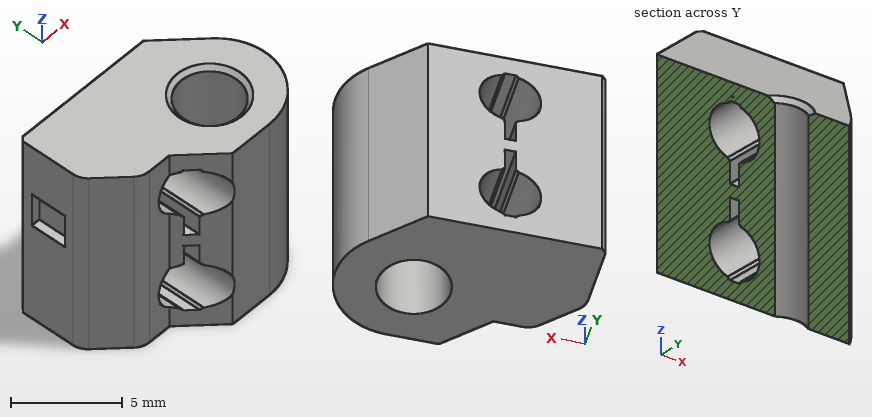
import math

import cadquery as cq

length = 11.39
depth = 7.65
height = 11.0

boss_radius = 3.2
boss_x = length - boss_radius
boss_y = boss_radius
step_depth = 2.0
step_end_x = 3.76
front_chamfer = 2.0
front_fillet_radius = 1.0
back_chamfer = 0.22

screw_diameter = 3.4
screw_x = 7.75
screw_y = boss_y
screw_chamfer = 0.25

channel_x = 4.46
channel_diameter = 2.84
channel_spacing = 6.0
channel_half_height = 1.5
flare_reach = 1.75
flare_base = 0.5
slot_width = 0.5
slot_gap = 0.7

recess_size = 2.0
recess_depth = 0.5
recess_center_y = 5.9
recess_center_z = 6.97


def make_body():
    """Extruded plan outline with a rounded boss end and a stepped front."""
    tangent_offset = boss_radius / math.sqrt(2)
    tangent_x = boss_x + tangent_offset
    tangent_y = boss_y + tangent_offset
    back_corner_x = tangent_x + tangent_y - depth
    corner_y = step_depth + front_chamfer

    body = (
        cq.Workplane("XY")
        .moveTo(step_end_x + step_depth, 0)
        .lineTo(boss_x, 0)
        .threePointArc((length, boss_y), (tangent_x, tangent_y))
        .lineTo(back_corner_x, depth)
        .lineTo(back_chamfer, depth)
        .lineTo(0, depth - back_chamfer)
        .lineTo(0, corner_y)
        .lineTo(front_chamfer, step_depth)
        .lineTo(step_end_x, step_depth)
        .close()
        .extrude(height)
    )
    middle_z = height / 2
    for corner_x, edge_y in ((0, corner_y), (front_chamfer, step_depth)):
        edge = cq.selectors.NearestToPointSelector((corner_x, edge_y, middle_z))
        body = body.edges("|Z").edges(edge).fillet(front_fillet_radius)
    return body


def make_screw_hole():
    """Through hole with a chamfered upper rim."""
    radius = screw_diameter / 2
    hole = cq.Workplane("XY").center(screw_x, screw_y).circle(radius).extrude(height)
    rim = cq.Solid.makeCone(
        radius,
        radius + screw_chamfer,
        screw_chamfer,
        pnt=cq.Vector(screw_x, screw_y, height - screw_chamfer),
    )
    return hole.union(cq.Workplane(rim))


def make_channel(side):
    """Keyhole channel; side is 1 for the upper one and -1 for the lower one."""
    axis_z = height / 2 + side * channel_spacing / 2
    slot_end = channel_spacing / 2 - slot_gap / 2
    slot_half = slot_width / 2
    crown_half = flare_reach - channel_half_height
    flare_root = flare_reach - flare_base
    flare_end = flare_reach - slot_half

    profile = [
        (-crown_half, side * channel_half_height),
        (crown_half, side * channel_half_height),
        (flare_base, side * flare_root),
        (flare_base, -side * flare_root),
        (slot_half, -side * flare_end),
        (slot_half, -side * slot_end),
        (-slot_half, -side * slot_end),
        (-slot_half, -side * flare_end),
        (-flare_base, -side * flare_root),
        (-flare_base, side * flare_root),
    ]
    plane = cq.Workplane("XZ", origin=(channel_x, 0, axis_z))
    bore = plane.circle(channel_diameter / 2).extrude(-depth)
    return bore.union(plane.polyline(profile).close().extrude(-depth))


def make_recess():
    """Shallow square recess opening on the left face."""
    return (
        cq.Workplane("XY")
        .box(recess_depth, recess_size, recess_size, centered=(False, True, True))
        .translate((0, recess_center_y, recess_center_z))
    )


result = make_body().cut(make_screw_hole())
for channel_side in (1, -1):
    result = result.cut(make_channel(channel_side))
result = result.cut(make_recess())